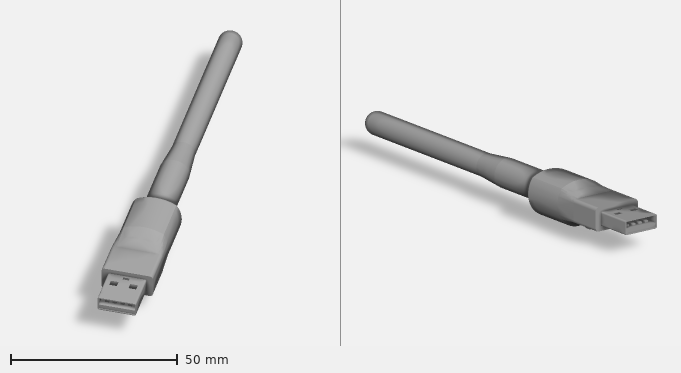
import cadquery as cq
import math

TOTAL_LENGTH = 132.9
PLUG_LENGTH = 12.0
HOUSING_FRONT_Y = PLUG_LENGTH
LOFT_START_Y = 23.0
LOFT_END_Y = 30.8
HOUSING_BACK_Y = 45.7
TAPER_START_Y = 65.9
TAPER_END_Y = 76.0

GRIP_DIAMETER = 9.5
ROD_DIAMETER = 7.5
TIP_RADIUS = 3.3

HOUSING_WIDTH = 16.0
BARREL_RADIUS = HOUSING_WIDTH / 2
BARREL_HEIGHT = 14.5
CROWN_HALF_WIDTH = 6.2
BOX_HEIGHT = 7.6
BOX_FILLET = 1.0
BOX_FLAT_X = HOUSING_WIDTH / 2 - BOX_FILLET
BOX_FLAT_Z = BOX_HEIGHT / 2 - BOX_FILLET
BARREL_BACK_FILLET = 0.8

RIDGE_BACK_Y = 18.9
RIDGE_LENGTH = 2.0
RIDGE_WIDTH = 0.7
RIDGE_CENTER_X = 6.1
RIDGE_DROP = 0.7

SHELL_WIDTH = 12.0
SHELL_HEIGHT = 4.5
SHELL_WALL = 0.35
SHELL_FILLET = 0.5
INNER_WIDTH = SHELL_WIDTH - 2 * SHELL_WALL
INNER_HEIGHT = SHELL_HEIGHT - 2 * SHELL_WALL
INNER_FILLET = SHELL_FILLET - SHELL_WALL
WINDOW_WIDTH = 2.4
WINDOW_LENGTH = 2.0
WINDOW_FRONT_Y = 6.8
WINDOW_BACK_Y = WINDOW_FRONT_Y + WINDOW_LENGTH
SLOT_WIDTH = 2.0
SLOT_LENGTH = 0.9
SLOT_CENTER_Y = 10.8

TONGUE_TOP_Z = -0.5
TONGUE_FRONT_Y = 0.3
BLOCK_FRONT_Y = WINDOW_BACK_Y
GROOVE_DEPTH = 0.4

CONTACT_COUNT = 4
CONTACT_PITCH = 2.4
CONTACT_WIDTH = CONTACT_PITCH / 2
CONTACT_THICKNESS = 0.7
CONTACT_FRONT_Y = 2.0
CONTACT_ROW_WIDTH = (CONTACT_COUNT - 1) * CONTACT_PITCH + CONTACT_WIDTH
WINDOW_CENTER_X = (CONTACT_ROW_WIDTH - WINDOW_WIDTH) / 2


def box(width, y_start, y_end, z_bottom, z_top, x_center=0.0):
    """Box centred on x_center between the given Y and Z limits."""
    corner = cq.Vector(x_center - width / 2, y_start, z_bottom)
    return cq.Workplane(cq.Solid.makeBox(width, y_end - y_start, z_top - z_bottom, corner))


def rounded_bar(width, height, fillet, y_start, y_end):
    """Bar along Y with rounded long edges, centred on the Y axis."""
    return box(width, y_start, y_end, -height / 2, height / 2).edges("|Y").fillet(fillet)


def on_barrel(angle):
    """Point (x, z) of the barrel circle at an angle in degrees from +X."""
    turn = math.radians(angle)
    return BARREL_RADIUS * math.cos(turn), BARREL_RADIUS * math.sin(turn)


def barrel_angles():
    """Split angles down the right side of the barrel, from the crown to the last corner piece.

    The pieces take shares of the arc in proportion to the box pieces they blend into,
    which keeps the neck smooth from one piece to the next.
    """
    crown_angle = math.degrees(math.acos(CROWN_HALF_WIDTH / BARREL_RADIUS))
    corner_length = BOX_FILLET * math.pi / 2
    box_pieces = [BOX_FLAT_X - CROWN_HALF_WIDTH, corner_length, 2 * BOX_FLAT_Z, corner_length]
    half_outline = sum(box_pieces) + BOX_FLAT_X
    angles = [crown_angle]
    for piece in box_pieces:
        angles.append(angles[-1] - (crown_angle + 90) * piece / half_outline)
    return angles


def barrel_wire(y):
    """Barrel outline: a crown arc, then the circle cut into as many pieces as the box outline."""
    right_angles = barrel_angles()
    angles = right_angles + [-180 - angle for angle in reversed(right_angles)]

    def at(angle):
        x, z = on_barrel(angle)
        return cq.Vector(x, y, z)

    crown_top = cq.Vector(0, y, BARREL_HEIGHT - BARREL_RADIUS)
    edges = [cq.Edge.makeThreePointArc(at(angles[-1]), crown_top, at(angles[0]))]
    for start, end in zip(angles, angles[1:]):
        edges.append(cq.Edge.makeThreePointArc(at(start), at((start + end) / 2), at(end)))
    return cq.Wire.assembleEdges(edges)


def box_wire(y):
    """Rounded box outline, with its top edge split under the ends of the crown."""
    side = HOUSING_WIDTH / 2
    top = BOX_HEIGHT / 2
    bulge = BOX_FILLET * math.sqrt(0.5)

    def at(x, z):
        return cq.Vector(x, y, z)

    def line(start, end):
        return cq.Edge.makeLine(at(*start), at(*end))

    def corner(start, x_sign, z_sign, end):
        middle = at(x_sign * (BOX_FLAT_X + bulge), z_sign * (BOX_FLAT_Z + bulge))
        return cq.Edge.makeThreePointArc(at(*start), middle, at(*end))

    edges = [
        line((-CROWN_HALF_WIDTH, top), (CROWN_HALF_WIDTH, top)),
        line((CROWN_HALF_WIDTH, top), (BOX_FLAT_X, top)),
        corner((BOX_FLAT_X, top), 1, 1, (side, BOX_FLAT_Z)),
        line((side, BOX_FLAT_Z), (side, -BOX_FLAT_Z)),
        corner((side, -BOX_FLAT_Z), 1, -1, (BOX_FLAT_X, -top)),
        line((BOX_FLAT_X, -top), (-BOX_FLAT_X, -top)),
        corner((-BOX_FLAT_X, -top), -1, -1, (-side, -BOX_FLAT_Z)),
        line((-side, -BOX_FLAT_Z), (-side, BOX_FLAT_Z)),
        corner((-side, BOX_FLAT_Z), -1, 1, (-BOX_FLAT_X, top)),
        line((-BOX_FLAT_X, top), (-CROWN_HALF_WIDTH, top)),
    ]
    return cq.Wire.assembleEdges(edges)


def make_antenna():
    """Round grip, taper and rod with a domed tip, turned about the Y axis."""
    grip_radius = GRIP_DIAMETER / 2
    rod_radius = ROD_DIAMETER / 2
    dome_y = TOTAL_LENGTH - TIP_RADIUS
    tip_flat = rod_radius - TIP_RADIUS
    diagonal = TIP_RADIUS * math.sqrt(0.5)
    return (
        cq.Workplane("XY")
        .moveTo(0, HOUSING_BACK_Y)
        .lineTo(grip_radius, HOUSING_BACK_Y)
        .lineTo(grip_radius, TAPER_START_Y)
        .lineTo(rod_radius, TAPER_END_Y)
        .lineTo(rod_radius, dome_y)
        .threePointArc((tip_flat + diagonal, dome_y + diagonal), (tip_flat, TOTAL_LENGTH))
        .lineTo(0, TOTAL_LENGTH)
        .close()
        .revolve(360, (0, 0, 0), (0, 1, 0))
    )


def make_barrel():
    length = HOUSING_BACK_Y - LOFT_END_Y
    barrel = cq.Workplane(cq.Solid.extrudeLinear(barrel_wire(LOFT_END_Y), [], cq.Vector(0, length, 0)))
    return barrel.faces(">Y").edges().fillet(BARREL_BACK_FILLET)


def make_ridge(x_center):
    bottom = -BOX_HEIGHT / 2
    front = RIDGE_BACK_Y - RIDGE_LENGTH
    return box(RIDGE_WIDTH, front, RIDGE_BACK_Y, bottom - RIDGE_DROP, bottom, x_center)


def make_housing():
    """Housing and antenna, moulded in one piece."""
    front_box = rounded_bar(HOUSING_WIDTH, BOX_HEIGHT, BOX_FILLET, HOUSING_FRONT_Y, LOFT_START_Y)
    neck = cq.Workplane(cq.Solid.makeLoft([box_wire(LOFT_START_Y), barrel_wire(LOFT_END_Y)]))
    housing = front_box.union(neck).union(make_barrel()).union(make_antenna())
    for side in (-1, 1):
        housing = housing.union(make_ridge(side * RIDGE_CENTER_X))
    return housing


def make_shell():
    shell = rounded_bar(SHELL_WIDTH, SHELL_HEIGHT, SHELL_FILLET, 0, PLUG_LENGTH)
    shell = shell.cut(rounded_bar(INNER_WIDTH, INNER_HEIGHT, INNER_FILLET, 0, PLUG_LENGTH))
    top = SHELL_HEIGHT / 2
    for side in (-1, 1):
        shell = shell.cut(
            box(WINDOW_WIDTH, WINDOW_FRONT_Y, WINDOW_BACK_Y, 0, top, side * WINDOW_CENTER_X)
        )
    slot_front = SLOT_CENTER_Y - SLOT_LENGTH / 2
    return shell.cut(box(SLOT_WIDTH, slot_front, slot_front + SLOT_LENGTH, 0, top))


def make_insulator():
    insulator = rounded_bar(INNER_WIDTH, INNER_HEIGHT, INNER_FILLET, TONGUE_FRONT_Y, PLUG_LENGTH)
    top = INNER_HEIGHT / 2
    insulator = insulator.cut(box(INNER_WIDTH, TONGUE_FRONT_Y, BLOCK_FRONT_Y, TONGUE_TOP_Z, top))
    return insulator.cut(box(SLOT_WIDTH, BLOCK_FRONT_Y, PLUG_LENGTH, top - GROOVE_DEPTH, top))


def make_contact(x_center):
    return box(
        CONTACT_WIDTH,
        CONTACT_FRONT_Y,
        BLOCK_FRONT_Y,
        TONGUE_TOP_Z,
        TONGUE_TOP_Z + CONTACT_THICKNESS,
        x_center,
    )


housing = make_housing()
shell = make_shell()
insulator = make_insulator()
contacts = [make_contact((i - (CONTACT_COUNT - 1) / 2) * CONTACT_PITCH) for i in range(CONTACT_COUNT)]

result = cq.Compound.makeCompound(
    [housing.val(), shell.val(), insulator.val(), *[contact.val() for contact in contacts]]
)